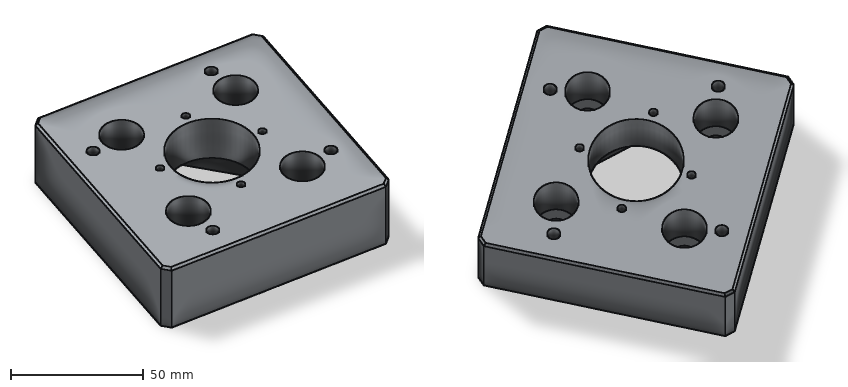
import cadquery as cq
import math

side = 100.0
height = 30.0
corner_chamfer = 3.0
top_chamfer = 1.0

bore_diameter = 36.2

pocket_side = 43.0
pocket_depth = 10.0
pocket_turn = 45.0

bolt_spacing = 50.0
bolt_diameter = 9.0
counterbore_diameter = 17.0
counterbore_depth = 20.0

small_diameter = 3.3
small_circle_radius = 22.0
small_angles = (-0.4, 89.6, 176.4, 266.4)

outer_diameter = 5.0
outer_circle_radius = 45.0
outer_start_angle = 60.0
outer_count = 4


def make_block():
    block = cq.Workplane("XY").box(side, side, height, centered=(True, True, False))
    block = block.edges("|Z").chamfer(corner_chamfer)
    return block.faces(">Z").chamfer(top_chamfer)


def points_on_circle(radius, angles):
    return [
        (radius * math.cos(math.radians(a)), radius * math.sin(math.radians(a)))
        for a in angles
    ]


def through_cutter(points, diameter):
    return cq.Workplane("XY").pushPoints(points).circle(diameter / 2).extrude(height)


def counterbore_cutter(points):
    floor = cq.Workplane("XY").workplane(offset=height - counterbore_depth)
    return floor.pushPoints(points).circle(counterbore_diameter / 2).extrude(counterbore_depth)


def pocket_cutter():
    pocket = cq.Workplane("XY").rect(pocket_side, pocket_side).extrude(pocket_depth)
    return pocket.rotate((0, 0, 0), (0, 0, 1), pocket_turn)


bolt_points = [
    (x * bolt_spacing / 2, y * bolt_spacing / 2) for x in (-1, 1) for y in (-1, 1)
]
outer_angles = [outer_start_angle + i * 360 / outer_count for i in range(outer_count)]

result = make_block()
result = result.cut(through_cutter([(0, 0)], bore_diameter))
result = result.cut(pocket_cutter())
result = result.cut(through_cutter(bolt_points, bolt_diameter))
result = result.cut(counterbore_cutter(bolt_points))
result = result.cut(
    through_cutter(points_on_circle(small_circle_radius, small_angles), small_diameter)
)
result = result.cut(
    through_cutter(points_on_circle(outer_circle_radius, outer_angles), outer_diameter)
)